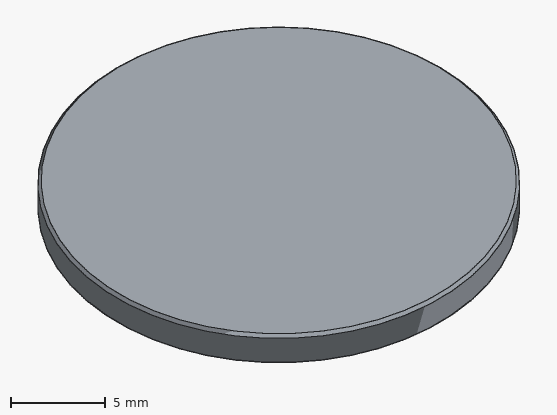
import cadquery as cq

diameter = 25.4
total_height = 2.4
dome_rise = 0.38
chamfer = 0.18

radius = diameter / 2
face_radius = radius - chamfer
dome_edge_height = total_height - dome_rise

sphere_radius = (face_radius**2 + dome_rise**2) / (2 * dome_rise)
mid_radius = face_radius / 2
mid_sag = sphere_radius - (sphere_radius**2 - mid_radius**2) ** 0.5

half_section = (
    cq.Workplane("XZ")
    .lineTo(face_radius, 0)
    .lineTo(radius, chamfer)
    .lineTo(radius, dome_edge_height - chamfer)
    .lineTo(face_radius, dome_edge_height)
    .threePointArc((mid_radius, total_height - mid_sag), (0, total_height))
    .close()
)

result = half_section.revolve(360, (0, 0, 0), (0, 1, 0))